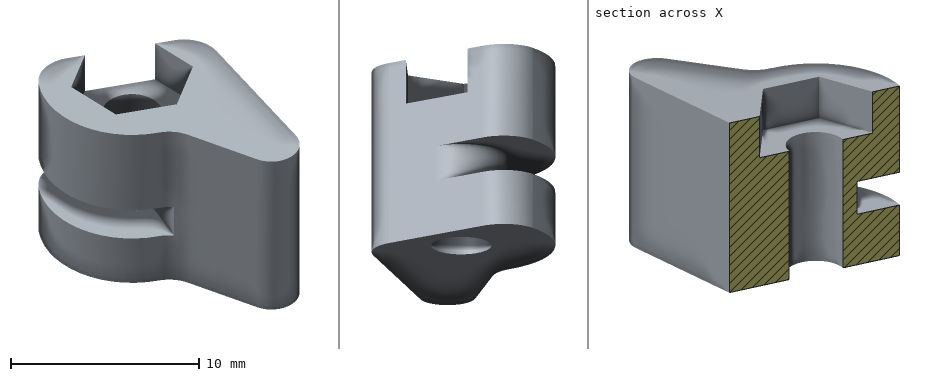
import cadquery as cq
import math

height = 10.0
body_radius = 5.0
left_x = -2.45
hole_radius = 1.6
corner_radius = 2.0
neck_radius = 2.0

tip_x = 7.53
tip_y = 5.63
tip_radius = 1.5
upper_flank_angle = 105
lower_flank_angle = -45

nut_flats = 5.8
nut_depth = 2.43

slot_bottom = 3.0
slot_top = 4.9
slot_neck_radius = -left_x
slot_wall_angle = 10


def polar(center, radius, angle):
    """Point at a radius and an angle in degrees from a center."""
    turn = math.radians(angle)
    return (center[0] + radius * math.cos(turn), center[1] + radius * math.sin(turn))


def angle_to(start, end):
    """Direction from start to end in degrees."""
    return math.degrees(math.atan2(end[1] - start[1], end[0] - start[0]))


def flank_offset(angle):
    """Distance from the hole axis to a flank along the flank's outward normal."""
    turn = math.radians(angle)
    return tip_x * math.cos(turn) + tip_y * math.sin(turn) + tip_radius


def make_body():
    axis = (0, 0)
    tip = (tip_x, tip_y)

    across = flank_offset(lower_flank_angle) + neck_radius
    along = math.sqrt((body_radius + neck_radius) ** 2 - across**2)
    neck = polar(polar(axis, across, lower_flank_angle), along, lower_flank_angle + 90)
    neck_flank_angle = lower_flank_angle + 180
    neck_body_angle = angle_to(neck, axis) % 360

    corner_x = left_x + corner_radius
    lower_y = -math.sqrt((body_radius - corner_radius) ** 2 - corner_x**2)
    lower = (corner_x, lower_y)
    lower_angle = angle_to(axis, lower)

    turn = math.radians(upper_flank_angle)
    inset = flank_offset(upper_flank_angle) - corner_radius
    upper = (corner_x, (inset - corner_x * math.cos(turn)) / math.sin(turn))

    def arc(sketch, center, radius, start, end):
        middle = polar(center, radius, (start + end) / 2)
        return sketch.threePointArc(middle, polar(center, radius, end))

    outline = cq.Workplane("XY").moveTo(left_x, upper[1]).lineTo(left_x, lower_y)
    outline = arc(outline, lower, corner_radius, -180, lower_angle)
    outline = arc(outline, axis, body_radius, lower_angle, angle_to(axis, neck))
    outline = arc(outline, neck, neck_radius, neck_body_angle, neck_flank_angle)
    outline = outline.lineTo(*polar(tip, tip_radius, lower_flank_angle))
    outline = arc(outline, tip, tip_radius, lower_flank_angle, upper_flank_angle)
    outline = outline.lineTo(*polar(upper, corner_radius, upper_flank_angle))
    outline = arc(outline, upper, corner_radius, upper_flank_angle, 180)
    return outline.close().extrude(height)


def make_hole():
    return cq.Workplane("XY").circle(hole_radius).extrude(height)


def make_nut_pocket():
    corner_distance = nut_flats / math.sqrt(3)
    corners = [polar((0, 0), corner_distance, 30 + 60 * i) for i in range(6)]
    floor = cq.Workplane("XY", origin=(0, 0, height - nut_depth))
    return floor.polyline(corners).close().extrude(nut_depth)


def make_slot():
    axis = (0, 0)
    reach = 2 * body_radius
    slot = (
        cq.Workplane("XY", origin=(0, 0, slot_bottom))
        .moveTo(-reach, 0)
        .lineTo(-slot_neck_radius, 0)
        .threePointArc((0, -slot_neck_radius), polar(axis, slot_neck_radius, slot_wall_angle))
        .lineTo(*polar(axis, reach, slot_wall_angle))
        .lineTo(reach, -reach)
        .lineTo(-reach, -reach)
        .close()
    )
    return slot.extrude(slot_top - slot_bottom)


result = make_body().cut(make_hole()).cut(make_nut_pocket()).cut(make_slot())